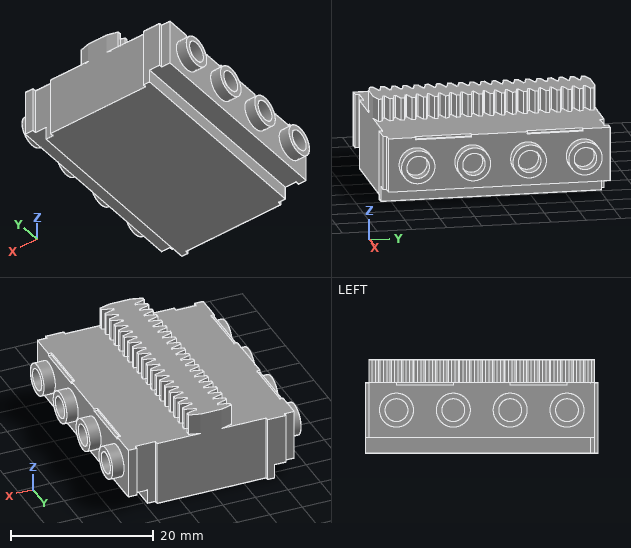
import cadquery as cq

TOTAL_WIDTH = 29.0
TOTAL_LENGTH = 32.8
TOTAL_HEIGHT = 13.2

MODULE = 8.0
STUD_COUNT = 4
TONGUE_DEPTH = 0.5
BODY_LENGTH = TOTAL_LENGTH - 2 * TONGUE_DEPTH
STUD_HEIGHT = 1.75
BODY_WIDTH = TOTAL_WIDTH - 2 * STUD_HEIGHT
RACK_HEIGHT = 3.2
BODY_HEIGHT = TOTAL_HEIGHT - RACK_HEIGHT
BASE_WIDTH = 19.1
BASE_HEIGHT = 2.2

JOINT_OFFSET = 9.87
TONGUE_WIDTH = 2.85
NOTCH_WIDTH = 3.08
NOTCH_DEPTH = 0.6

STUD_DIAMETER = 4.8
STUD_BORE = 3.2
STUD_Z = (BASE_HEIGHT + BODY_HEIGHT) / 2

REBATE_LENGTH = MODULE
REBATE_SPACING = 2 * MODULE
REBATE_WIDTH = 0.5
REBATE_DEPTH = 0.33

RACK_WIDTH = 6.55
RACK_CORE_WIDTH = 3.28
TOOTH_COUNT = 20
TOOTH_PITCH = MODULE * STUD_COUNT / TOOTH_COUNT
TOOTH_TIP = 0.5
GROOVE_FLOOR = TOOTH_COUNT * TOOTH_PITCH - BODY_LENGTH
TOOTH_ROOT = TOOTH_PITCH - GROOVE_FLOOR

SIDES = (-1, 1)


def block(width, length, height, x=0, y=0, z=0):
    """Box centred on (x, y) with its underside at height z."""
    return cq.Workplane("XY").box(width, length, height, centered=(True, True, False)).translate((x, y, z))


def make_body():
    wide_block = block(BODY_WIDTH, BODY_LENGTH, BODY_HEIGHT)
    for side in SIDES:
        end_y = side * BODY_LENGTH / 2
        tongue = block(TONGUE_WIDTH, 2 * TONGUE_DEPTH, BODY_HEIGHT, -side * JOINT_OFFSET, end_y)
        notch = block(NOTCH_WIDTH, 2 * NOTCH_DEPTH, BODY_HEIGHT, side * JOINT_OFFSET, end_y)
        wide_block = wide_block.union(tongue).cut(notch)

    step_width = (BODY_WIDTH - BASE_WIDTH) / 2
    for side in SIDES:
        step_x = side * (BASE_WIDTH + step_width) / 2
        wide_block = wide_block.cut(block(step_width, TOTAL_LENGTH, BASE_HEIGHT, step_x))
    return wide_block


def cut_rebates(body):
    for side in SIDES:
        for end in SIDES:
            rebate = block(
                2 * REBATE_WIDTH,
                REBATE_LENGTH,
                REBATE_DEPTH,
                side * BODY_WIDTH / 2,
                end * REBATE_SPACING / 2,
                BODY_HEIGHT - REBATE_DEPTH,
            )
            body = body.cut(rebate)
    return body


def make_studs(side):
    """Row of tubes on one long side; each bore ends at the body face."""
    return (
        cq.Workplane("YZ", origin=(side * BODY_WIDTH / 2, 0, STUD_Z))
        .rarray(MODULE, 0.33, STUD_COUNT, 1)
        .circle(STUD_DIAMETER / 2)
        .circle(STUD_BORE / 2)
        .extrude(side * STUD_HEIGHT)
    )


def make_rack():
    """Tapered teeth on both edges; the end teeth finish flush with the body ends."""
    core_x = RACK_CORE_WIDTH / 2
    tip_x = RACK_WIDTH / 2
    right_edge = []
    for tooth in range(TOOTH_COUNT):
        tooth_y = (tooth - (TOOTH_COUNT - 1) / 2) * TOOTH_PITCH
        right_edge.append((core_x, tooth_y - TOOTH_ROOT / 2))
        right_edge.append((tip_x, tooth_y - TOOTH_TIP / 2))
        right_edge.append((tip_x, tooth_y + TOOTH_TIP / 2))
        right_edge.append((core_x, tooth_y + TOOTH_ROOT / 2))
    left_edge = [(-x, y) for x, y in reversed(right_edge)]
    return (
        cq.Workplane("XY", origin=(0, 0, BODY_HEIGHT))
        .polyline(right_edge + left_edge)
        .close()
        .extrude(RACK_HEIGHT)
    )


result = cut_rebates(make_body()).union(make_rack())
for side in SIDES:
    result = result.union(make_studs(side))